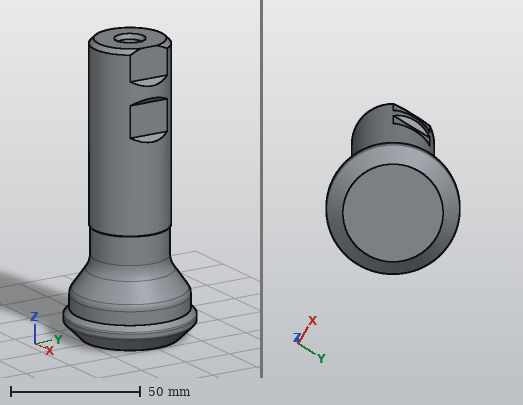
import cadquery as cq
import math

total_height = 120.0

rim_radius = 25.8
rim_edge_radius = 1.0
lower_bevel = 6.5
disc_height = 11.4

head_radius = 47.0 / 2
neck_radius = 31.0 / 2
shank_radius = 31.8 / 2
head_top_z = 17.0
shank_start_z = 44.6
shank_end_chamfer = 1.9
flare_angle = math.radians(35)
head_round = 4.5
neck_round = 10.1

flat_x = 13.5
flat_ramp = shank_radius - flat_x
upper_flat_end = 12.7
lower_flat_start = 22.3
lower_flat_end = 35.4

hole_radius = 10.0 / 2
hole_mouth_radius = 6.1
hole_depth = 18.0
countersink_half_angle = math.radians(30)
drill_half_angle = math.radians(59)


def make_head_disc():
    """Disc with a bevel above and below a softly rounded rim."""
    upper_bevel = rim_radius - head_radius
    disc = (
        cq.Workplane("XZ")
        .lineTo(rim_radius - lower_bevel, 0)
        .lineTo(rim_radius, lower_bevel)
        .lineTo(rim_radius, disc_height - upper_bevel)
        .lineTo(head_radius, disc_height)
        .lineTo(0, disc_height)
        .close()
        .revolve(360, (0, 0, 0), (0, 1, 0))
    )
    rim_edges = [
        edge for edge in disc.edges("%CIRCLE").vals()
        if math.isclose(edge.radius(), rim_radius, abs_tol=1.2e-06)
    ]
    return disc.newObject(rim_edges).fillet(rim_edge_radius)


def arc_point(centre, radius, angle):
    """Point on an arc in the XZ profile, angle measured from +X."""
    return (centre[0] + radius * math.cos(angle), centre[1] + radius * math.sin(angle))


def make_stem_blank():
    """Turned stem: head, flared cone with tangent rounds, neck and shank."""
    head_centre = (head_radius - head_round, head_top_z)
    cone_bottom = arc_point(head_centre, head_round, flare_angle)

    neck_centre_x = neck_radius + neck_round
    cone_top_x = neck_centre_x - neck_round * math.cos(flare_angle)
    cone_top_z = cone_bottom[1] + (cone_bottom[0] - cone_top_x) / math.tan(flare_angle)
    neck_centre = (neck_centre_x, cone_top_z + neck_round * math.sin(flare_angle))

    shank_step = shank_radius - neck_radius
    return (
        cq.Workplane("XZ")
        .moveTo(0, disc_height)
        .lineTo(head_radius, disc_height)
        .lineTo(head_radius, head_top_z)
        .threePointArc(arc_point(head_centre, head_round, flare_angle / 2), cone_bottom)
        .lineTo(cone_top_x, cone_top_z)
        .threePointArc(
            arc_point(neck_centre, neck_round, math.pi + flare_angle / 2),
            (neck_radius, neck_centre[1]),
        )
        .lineTo(neck_radius, shank_start_z)
        .lineTo(shank_radius, shank_start_z + shank_step)
        .lineTo(shank_radius, total_height - shank_end_chamfer)
        .lineTo(shank_radius - shank_end_chamfer, total_height)
        .lineTo(0, total_height)
        .close()
        .revolve(360, (0, 0, 0), (0, 1, 0))
    )


def make_flat_cutter(top_z, bottom_z, top_ramp, bottom_ramp):
    """Cutter for a flat, its ends ramping out to the shank surface."""
    return (
        cq.Workplane("XZ")
        .moveTo(flat_x, top_z)
        .lineTo(flat_x, bottom_z)
        .lineTo(shank_radius, bottom_z - bottom_ramp)
        .lineTo(shank_radius, top_z + top_ramp)
        .close()
        .extrude(shank_radius, both=True)
    )


def make_hole_cutter():
    """Countersunk blind hole with a conical drill point."""
    countersink_depth = (hole_mouth_radius - hole_radius) / math.tan(countersink_half_angle)
    floor_z = total_height - hole_depth
    return (
        cq.Workplane("XZ")
        .moveTo(0, total_height)
        .lineTo(hole_mouth_radius, total_height)
        .lineTo(hole_radius, total_height - countersink_depth)
        .lineTo(hole_radius, floor_z)
        .lineTo(0, floor_z - hole_radius / math.tan(drill_half_angle))
        .close()
        .revolve(360, (0, 0, 0), (0, 1, 0))
    )


def make_stem():
    upper_flat = make_flat_cutter(total_height, total_height - upper_flat_end, 0, flat_ramp)
    lower_flat = make_flat_cutter(
        total_height - lower_flat_start, total_height - lower_flat_end, flat_ramp, flat_ramp
    )
    return make_stem_blank().cut(upper_flat).cut(lower_flat).cut(make_hole_cutter())


head_disc = make_head_disc()
stem = make_stem()

result = cq.Compound.makeCompound([head_disc.val(), stem.val()])